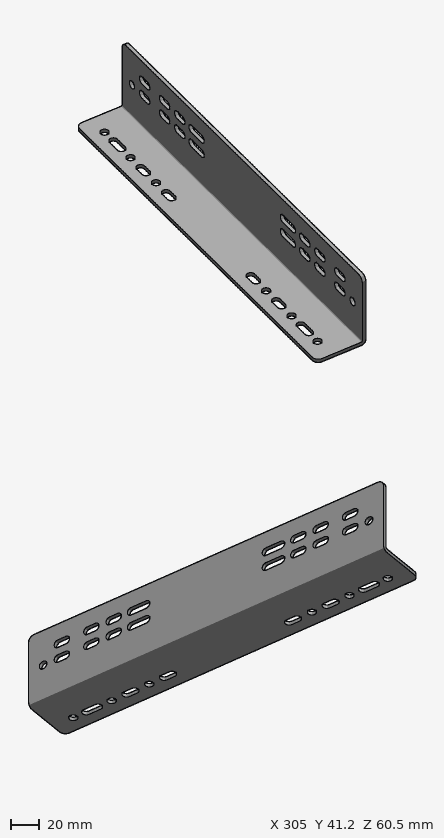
import cadquery as cq

length = 305.0
depth = 41.2
height = 60.5
thickness = 3.0
inner_bend_radius = 1.0
outer_bend_radius = inner_bend_radius + thickness
corner_radius = 5.0

slot_width = 6.5
short_slot = 13.0
medium_slot = 16.5
long_slot = 19.2

upper_row_drop = 17.0
upper_row_z = height - upper_row_drop
row_spacing = 12.8
lower_row_z = upper_row_z - row_spacing
wall_hole_x = 140.0
wall_slots = [
    (123.8, short_slot),
    (98.5, short_slot),
    (79.3, short_slot),
    (58.0, long_slot),
]

base_row_y = 12.5
base_hole_xs = [135.0, 102.2, 69.8]
base_slots = [
    (119.0, medium_slot),
    (86.0, short_slot),
    (53.7, short_slot),
]


def mirrored(x, row):
    """Points on both sides of the middle, at the same row position."""
    return [(-x, row), (x, row)]


def cut_hole_pair(body, plane, reach, x, row):
    """Cut two mirrored round holes through a leg."""
    points = mirrored(x, row)
    return body.cut(cq.Workplane(plane).pushPoints(points).circle(slot_width / 2).extrude(reach))


def cut_slot_pair(body, plane, reach, x, row, slot_length):
    """Cut two mirrored slots, lying along X, through a leg."""
    points = mirrored(x, row)
    return body.cut(cq.Workplane(plane).pushPoints(points).slot2D(slot_length, slot_width).extrude(reach))


profile = (
    cq.Workplane("YZ")
    .lineTo(depth, 0)
    .lineTo(depth, height)
    .lineTo(depth - thickness, height)
    .lineTo(depth - thickness, thickness)
    .lineTo(0, thickness)
    .close()
)
bracket = profile.extrude(length / 2, both=True)

outer_bend = cq.selectors.NearestToPointSelector((0, depth, 0))
inner_bend = cq.selectors.NearestToPointSelector((0, depth - thickness, thickness))
bracket = bracket.edges(outer_bend).fillet(outer_bend_radius)
bracket = bracket.edges(inner_bend).fillet(inner_bend_radius)

bracket = bracket.faces(">Z").edges("|Y").fillet(corner_radius)
bracket = bracket.faces("<Y").edges("|Z").fillet(corner_radius)

wall_reach = -depth
bracket = cut_hole_pair(bracket, "XZ", wall_reach, wall_hole_x, lower_row_z)
for row_z in (lower_row_z, upper_row_z):
    for slot_x, slot_length in wall_slots:
        bracket = cut_slot_pair(bracket, "XZ", wall_reach, slot_x, row_z, slot_length)

for hole_x in base_hole_xs:
    bracket = cut_hole_pair(bracket, "XY", thickness, hole_x, base_row_y)
for slot_x, slot_length in base_slots:
    bracket = cut_slot_pair(bracket, "XY", thickness, slot_x, base_row_y, slot_length)

result = bracket